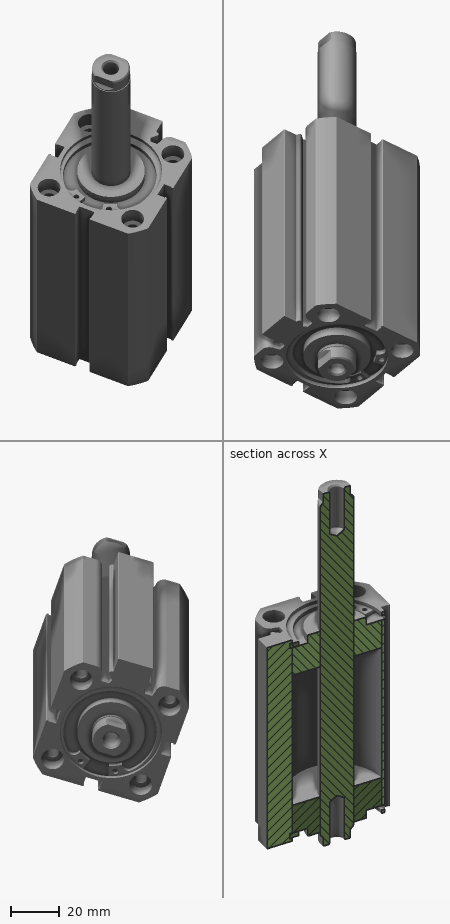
import cadquery as cq
import math

BODY_WIDTH = 54.0
BODY_LENGTH = 98.8
HALF_WIDTH = BODY_WIDTH / 2
CORNER_RADIUS = 34.0

RAIL_TOP = 33.0
RAIL_HALF_WIDTH = 7.6
RAIL_EDGE_RADIUS = 0.3
RAIL_LIP = 9.2
RAIL_LIP_HEIGHT = 25.8
RAIL_LIP_RADIUS = 0.9
RAIL_NECK = 7.0
RAIL_NECK_HEIGHT = 22.8
RAIL_FOOT = 7.8
CHANNEL_FLOOR = 21.1
CHANNEL_FLOOR_END = 10.9
CHANNEL_WALL_END = 11.6
SHOULDER_RADIUS = 3.6

SLOT_DEPTH = 4.3
SLOT_LIP = 0.9
SLOT_UNDERCUT = 0.3
SLOT_CHAMFER = 0.3
SIDE_SLOT_MOUTH = 5.5
FRONT_SLOT_MOUTH = 6.2

HOLE_OFFSET = 19.0
HOLE_DIAMETER = 5.4
COUNTERBORE_DIAMETER = 9.3
COUNTERBORE_DEPTH = 7.0

BORE_RADIUS = 21.0
GROOVE_DIAMETER = 44.6
GROOVE_RADIUS = GROOVE_DIAMETER / 2
RING_DEPTH = 1.7
RING_THICKNESS = 2.0
RING_INNER_RADIUS = 19.2
RING_INNER_SHIFT = -1.2
RING_GAP_ANGLE = 15.0
LUG_END_ANGLE = 34.0
LUG_INNER_RADIUS = 16.3
LUG_ROOT_RADIUS = 2.6
LUG_HOLE_RADIUS = 1.2
LUG_HOLE_X = 7.5
LUG_HOLE_Y = -17.3
COVER_LENGTH = 13.8
BOSS_RADIUS = 13.8

ROD_DIAMETER = 16.1
ROD_RADIUS = ROD_DIAMETER / 2
ROD_TOP = 67.0
ROD_BOTTOM = 7.3
TIP_RADIUS = 7.8
TIP_LENGTH = 6.0
TIP_CHAMFER = 0.5
ACROSS_FLATS = 13.0
FLAT_HALF_WIDTH = ACROSS_FLATS / 2
FLAT_LENGTH = 4.3
THREAD_RADIUS = 3.3
THREAD_MOUTH_RADIUS = 4.0
THREAD_DEPTH = 20.8
DRILL_POINT_SLOPE = 30

RING_BOTTOM_DEPTH = RING_DEPTH + RING_THICKNESS


def mirrored_at_mid_length(shape):
    """Return the matching shape for the body's other end."""
    return shape.mirror("XY", (0, 0, BODY_LENGTH / 2))


def cylinder(radius, bottom, top):
    return cq.Workplane("XY").workplane(offset=bottom).circle(radius).extrude(top - bottom)


def body_blank():
    """Square extrusion with rounded corners."""
    square = cq.Workplane("XY").rect(BODY_WIDTH, BODY_WIDTH).extrude(BODY_LENGTH)
    return square.intersect(cylinder(CORNER_RADIUS, 0, BODY_LENGTH))


def rail_channel():
    """Channel that undercuts the +X flank of the rail."""
    shoulder_x = CHANNEL_WALL_END + SHOULDER_RADIUS
    shoulder_y = HALF_WIDTH - SHOULDER_RADIUS
    diagonal = SHOULDER_RADIUS * math.sqrt(0.5)
    return (
        cq.Workplane("XY")
        .moveTo(RAIL_HALF_WIDTH, HALF_WIDTH)
        .lineTo(RAIL_LIP - RAIL_LIP_RADIUS, RAIL_LIP_HEIGHT + RAIL_LIP_RADIUS)
        .threePointArc(
            (RAIL_LIP, RAIL_LIP_HEIGHT),
            (RAIL_LIP - RAIL_LIP_RADIUS / 2, RAIL_LIP_HEIGHT - RAIL_LIP_RADIUS),
        )
        .lineTo(RAIL_NECK, RAIL_NECK_HEIGHT)
        .lineTo(RAIL_FOOT, CHANNEL_FLOOR)
        .lineTo(CHANNEL_FLOOR_END, CHANNEL_FLOOR)
        .lineTo(CHANNEL_WALL_END, shoulder_y)
        .threePointArc((shoulder_x - diagonal, shoulder_y + diagonal), (shoulder_x, HALF_WIDTH))
        .close()
        .extrude(BODY_LENGTH)
    )


def rail():
    """Upper block of the sensor rail."""
    height = RAIL_TOP - CHANNEL_FLOOR
    return (
        cq.Workplane("XY")
        .center(0, CHANNEL_FLOOR + height / 2)
        .rect(2 * RAIL_HALF_WIDTH, height)
        .extrude(BODY_LENGTH)
        .edges("|Z and >Y")
        .fillet(RAIL_EDGE_RADIUS)
    )


def sensor_slot(mouth_width, angle):
    """Undercut slot with a chamfered mouth in the +X side, turned about Z by the angle."""
    floor = HALF_WIDTH - SLOT_DEPTH
    lip = HALF_WIDTH - SLOT_LIP
    throat = mouth_width / 2
    pocket = throat + SLOT_UNDERCUT
    flank = [
        (floor, pocket),
        (lip, pocket),
        (lip, throat),
        (HALF_WIDTH - SLOT_CHAMFER, throat),
        (HALF_WIDTH, throat + SLOT_CHAMFER),
    ]
    opposite_flank = [(x, -y) for x, y in reversed(flank)]
    slot = cq.Workplane("XY").polyline(flank + opposite_flank).close().extrude(BODY_LENGTH)
    return slot.rotate((0, 0, 0), (0, 0, 1), angle)


def mounting_holes():
    """Four through holes, counterbored from both ends."""
    pitch = 2 * HOLE_OFFSET
    centres = cq.Workplane("XY").rect(pitch, pitch, forConstruction=True).vertices()
    through = centres.circle(HOLE_DIAMETER / 2).extrude(BODY_LENGTH)
    counterbores = centres.circle(COUNTERBORE_DIAMETER / 2).extrude(COUNTERBORE_DEPTH)
    return through.union(counterbores).union(mirrored_at_mid_length(counterbores))


def make_body():
    groove = cylinder(GROOVE_RADIUS, RING_DEPTH, RING_BOTTOM_DEPTH)
    channel = rail_channel()
    body = body_blank().union(rail())
    body = body.cut(channel).cut(channel.mirror("YZ"))
    for mouth_width, angle in ((SIDE_SLOT_MOUTH, 0), (SIDE_SLOT_MOUTH, 180), (FRONT_SLOT_MOUTH, 270)):
        body = body.cut(sensor_slot(mouth_width, angle))
    body = body.cut(mounting_holes())
    body = body.cut(cylinder(BORE_RADIUS, 0, BODY_LENGTH))
    return body.cut(groove).cut(mirrored_at_mid_length(groove))


def polar(radius, angle):
    """Point at an angle measured from -Y toward +X."""
    turn = math.radians(angle)
    return (radius * math.sin(turn), -radius * math.cos(turn))


def lug_root_distance():
    """Distance from the cylinder axis to where a lug's end meets the ring's inner circle."""
    turn = math.radians(LUG_END_ANGLE)
    across = RING_INNER_SHIFT * math.sin(turn)
    return math.sqrt(RING_INNER_RADIUS**2 - across**2) - RING_INNER_SHIFT * math.cos(turn)


def make_bottom_ring():
    """Internal retaining ring with two drilled lugs beside its gap."""
    plane = cq.Workplane("XY").workplane(offset=RING_DEPTH)
    ring = plane.circle(GROOVE_RADIUS).extrude(RING_THICKNESS)
    ring = ring.cut(plane.center(0, RING_INNER_SHIFT).circle(RING_INNER_RADIUS).extrude(RING_THICKNESS))
    lugs = (
        plane.moveTo(*polar(LUG_INNER_RADIUS, -LUG_END_ANGLE))
        .threePointArc(polar(LUG_INNER_RADIUS, 0), polar(LUG_INNER_RADIUS, LUG_END_ANGLE))
        .lineTo(*polar(BORE_RADIUS, LUG_END_ANGLE))
        .threePointArc(polar(BORE_RADIUS, 0), polar(BORE_RADIUS, -LUG_END_ANGLE))
        .close()
        .extrude(RING_THICKNESS)
    )
    gap_reach = 2 * GROOVE_RADIUS
    gap = (
        plane.polyline([(0, 0), polar(gap_reach, -RING_GAP_ANGLE), polar(gap_reach, RING_GAP_ANGLE)])
        .close()
        .extrude(RING_THICKNESS)
    )
    lug_holes = (
        plane.pushPoints([(-LUG_HOLE_X, LUG_HOLE_Y), (LUG_HOLE_X, LUG_HOLE_Y)])
        .circle(LUG_HOLE_RADIUS)
        .extrude(RING_THICKNESS)
    )
    ring = ring.union(lugs)
    for side in (-1, 1):
        root = (*polar(lug_root_distance(), side * LUG_END_ANGLE), RING_DEPTH + RING_THICKNESS / 2)
        ring = ring.edges(cq.selectors.NearestToPointSelector(root)).fillet(LUG_ROOT_RADIUS)
    return ring.cut(gap).cut(lug_holes)


def make_bottom_cover():
    """Rod cover: flange behind the ring, boss flush with the end face."""
    flange_end = RING_BOTTOM_DEPTH + COVER_LENGTH
    flange = cylinder(BORE_RADIUS, RING_BOTTOM_DEPTH, flange_end)
    boss = cylinder(BOSS_RADIUS, 0, RING_BOTTOM_DEPTH)
    return flange.union(boss).cut(cylinder(ROD_RADIUS, 0, flange_end))


def flat_cut(end, inward):
    """Two wrench flats at a rod end; each runs out on a 45 degree slope."""
    run_out = ROD_RADIUS - FLAT_HALF_WIDTH
    flat_end = end + inward * FLAT_LENGTH
    side = (
        cq.Workplane("YZ")
        .polyline([
            (FLAT_HALF_WIDTH, end),
            (ROD_RADIUS, end),
            (ROD_RADIUS, flat_end + inward * run_out),
            (FLAT_HALF_WIDTH, flat_end),
        ])
        .close()
        .extrude(ROD_RADIUS, both=True)
    )
    return side.union(side.mirror("XZ"))


def threaded_hole(end, inward):
    """Tapped hole with a countersunk mouth and a conical drill point."""
    mouth_depth = THREAD_MOUTH_RADIUS - THREAD_RADIUS
    point_length = THREAD_RADIUS * math.tan(math.radians(DRILL_POINT_SLOPE))
    return (
        cq.Workplane("XZ")
        .polyline([
            (0, end),
            (THREAD_MOUTH_RADIUS, end),
            (THREAD_RADIUS, end + inward * mouth_depth),
            (THREAD_RADIUS, end + inward * THREAD_DEPTH),
            (0, end + inward * (THREAD_DEPTH + point_length)),
        ])
        .close()
        .revolve(360, (0, 0), (0, 1))
    )


def make_rod():
    bottom = -ROD_BOTTOM
    top = BODY_LENGTH + ROD_TOP
    rod = cylinder(TIP_RADIUS, bottom, top).faces("<Z or >Z").chamfer(TIP_CHAMFER)
    rod = rod.union(cylinder(ROD_RADIUS, bottom + TIP_LENGTH, top - TIP_LENGTH))
    for end, inward in ((bottom, 1), (top, -1)):
        rod = rod.cut(flat_cut(end, inward)).cut(threaded_hole(end, inward))
    return rod


body = make_body()
rod = make_rod()
bottom_cover = make_bottom_cover()
bottom_ring = make_bottom_ring()

covers = [bottom_cover, mirrored_at_mid_length(bottom_cover)]
rings = [bottom_ring, mirrored_at_mid_length(bottom_ring)]

result = cq.Compound.makeCompound(
    [body.val(), rod.val()]
    + [cover.val() for cover in covers]
    + [ring.val() for ring in rings]
)